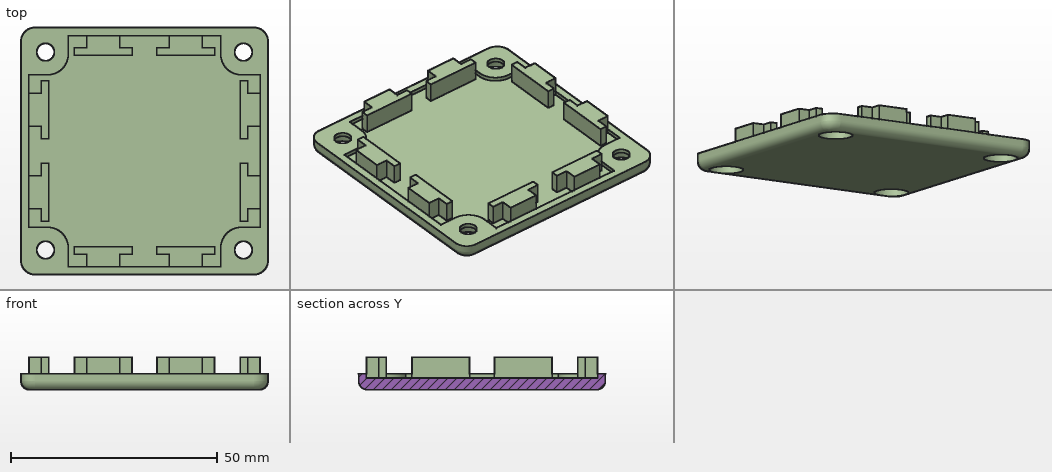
import cadquery as cq

SIDE = 60.0
TOTAL_HEIGHT = 8.0
PLATE_THICKNESS = TOTAL_HEIGHT / 2
CORNER_RADIUS = 3.5
BOTTOM_EDGE_RADIUS = 2.2

HOLE_DIAMETER = 4.2
HOLE_INSET = 6.0
COUNTERBORE_DIAMETER = 8.2
COUNTERBORE_DEPTH = 3.0

RIM_WIDTH = 2.0
RECESS_DEPTH = 1.0
PAD_SIDE = 11.5
PAD_RADIUS = 5.05

POST_OFFSET = SIDE / 6
STEM_WIDTH = 8.0
POST_DEPTH = 4.8
FLANGE_WIDTH = 14.05
FLANGE_THICKNESS = 1.8

HALF_SIDE = SIDE / 2
RECESS_HALF_SIDE = HALF_SIDE - RIM_WIDTH
RECESS_FLOOR = PLATE_THICKNESS - RECESS_DEPTH
POST_HEIGHT = TOTAL_HEIGHT - RECESS_FLOOR
QUARTER_TURNS = (0, 90, 180, 270)


def turned(shape, angle):
    """Copy of a shape turned about the Z axis."""
    return shape.rotate((0, 0, 0), (0, 0, 1), angle)


def rounded_plate():
    return (
        cq.Workplane("XY")
        .rect(SIDE, SIDE)
        .extrude(PLATE_THICKNESS)
        .edges("|Z")
        .fillet(CORNER_RADIUS)
        .faces("<Z")
        .edges()
        .fillet(BOTTOM_EDGE_RADIUS)
    )


def corner_pad():
    """Pad in the +X +Y corner, rounded on its edge nearest the middle."""
    pad_centre = HALF_SIDE - PAD_SIDE / 2
    return (
        cq.Workplane("XY", origin=(pad_centre, pad_centre, RECESS_FLOOR))
        .rect(PAD_SIDE, PAD_SIDE)
        .extrude(RECESS_DEPTH)
        .edges("|Z and <(1, 1, 0)")
        .fillet(PAD_RADIUS)
    )


def recess():
    """Square pocket whose corners are kept solid by the rounded pads."""
    pocket = (
        cq.Workplane("XY", origin=(0, 0, RECESS_FLOOR))
        .rect(2 * RECESS_HALF_SIDE, 2 * RECESS_HALF_SIDE)
        .extrude(RECESS_DEPTH)
    )
    for angle in QUARTER_TURNS:
        pocket = pocket.cut(turned(corner_pad(), angle))
    return pocket


def screw_holes():
    spacing = SIDE - 2 * HOLE_INSET
    centres = (
        cq.Workplane("XY")
        .rect(spacing, spacing, forConstruction=True)
        .vertices()
    )
    through_holes = centres.circle(HOLE_DIAMETER / 2).extrude(PLATE_THICKNESS)
    counterbores = centres.circle(COUNTERBORE_DIAMETER / 2).extrude(COUNTERBORE_DEPTH)
    return through_holes.union(counterbores)


def post_pair():
    """Two posts along the +Y rim."""
    flange_inner = RECESS_HALF_SIDE - POST_DEPTH
    base = cq.Workplane("XY", origin=(0, 0, RECESS_FLOOR))
    centres = base.pushPoints([(-POST_OFFSET, 0), (POST_OFFSET, 0)])
    stems = (
        centres.rect(STEM_WIDTH, POST_DEPTH)
        .extrude(POST_HEIGHT)
        .translate((0, flange_inner + POST_DEPTH / 2, 0))
    )
    flanges = (
        centres.rect(FLANGE_WIDTH, FLANGE_THICKNESS)
        .extrude(POST_HEIGHT)
        .translate((0, flange_inner + FLANGE_THICKNESS / 2, 0))
    )
    return stems.union(flanges)


result = rounded_plate().cut(recess()).cut(screw_holes())
for quarter_turn in QUARTER_TURNS:
    result = result.union(turned(post_pair(), quarter_turn))